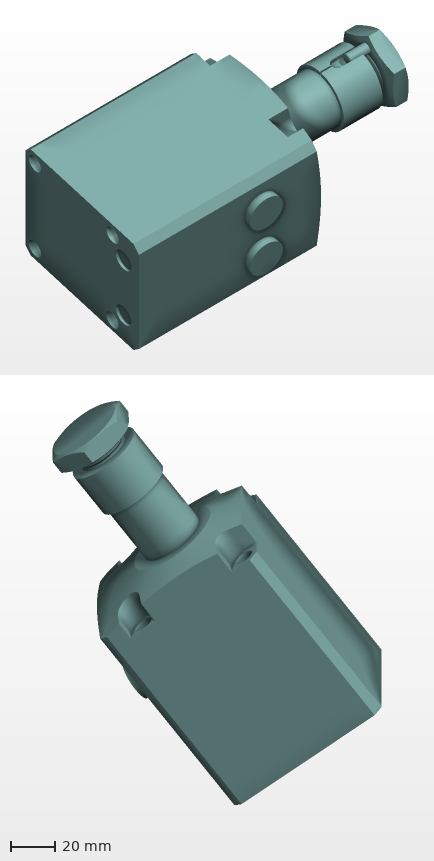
import cadquery as cq
import math


HOUSING_LEFT = 35.0
HOUSING_RIGHT = 47.1
HOUSING_HEIGHT = 70.0
HOUSING_LENGTH = 111.5
EDGE_CHAMFER = 4.0
CROWN_FLAT_RADIUS = 21.2
CROWN_SLOPE = 15

HOLE_OFFSET = 28.0
HOLE_RADIUS = 4.5
RELIEF_RADIUS = 7.0
RELIEF_FLOOR = 95.1

RECESS_X = 36.0
RECESS_Z = 18.0
RECESS_RADIUS = 5.5
RECESS_DEPTH = 1.5

PLUG_RADIUS = 9.5
PLUG_HEIGHT = 4.0
PLUG_Y = 70.2
PLUG_Z = 15.0

ROD_RADIUS = 15.0
COLLAR_RADIUS = 17.1
COLLAR_LENGTH = 22.1
COLLAR_END = 163.9
SLIT_WIDTH = 0.9
SLOT_WIDTH = 6.0
SLOT_LENGTH = 15.9

TOTAL_LENGTH = 178.5
HEAD_THICKNESS = 10.2
HEAD_ACROSS_FLATS = 36.0
HEAD_TURN = 3.5
HEAD_TOP_RADIUS = 17.1
HEAD_UNDERSIDE_RADIUS = 16.0
HEAD_CHAMFER_ANGLE = 24
THREAD_RADIUS = 12.0
THREAD_PITCH = 2.0
THREAD_DEPTH = 0.9

PIN_RADIUS = 2.9
PIN_Z = 15.4
PIN_LENGTH = 11.5
PIN_CHAMFER = 0.4
GROOVE_LENGTH = 7.7

HEAD_UNDERSIDE = TOTAL_LENGTH - HEAD_THICKNESS
HALF_HEIGHT = HOUSING_HEIGHT / 2
SIDES = (-1, 1)


def y_cylinder(radius, start, end, x=0, z=0):
    """Cylinder parallel to Y between two Y positions."""
    axis = cq.Vector(0, 1, 0)
    return cq.Workplane(cq.Solid.makeCylinder(radius, end - start, cq.Vector(x, start, z), axis))


def box(x_range, y_range, z_range):
    """Box given by its two limits along each axis."""
    size = [high - low for low, high in (x_range, y_range, z_range)]
    corner = (x_range[0], y_range[0], z_range[0])
    return cq.Workplane("XY").box(*size, centered=False).translate(corner)


def revolve_about_y(profile):
    """Turn (radius, y) points about the Y axis."""
    return cq.Workplane("XY").polyline(profile).close().revolve(360, (0, 0), (0, 1))


def crown_envelope():
    """Turned shape whose conical end crowns the housing."""
    rim_radius = 2 * HOUSING_RIGHT
    rim_y = HOUSING_LENGTH - (rim_radius - CROWN_FLAT_RADIUS) * math.tan(math.radians(CROWN_SLOPE))
    return revolve_about_y([
        (0, 0),
        (rim_radius, 0),
        (rim_radius, rim_y),
        (CROWN_FLAT_RADIUS, HOUSING_LENGTH),
        (0, HOUSING_LENGTH),
    ])


def screw_relief(x_side, z_side):
    """Room for a screw head: open outward in Z, and on the -X side open in X too."""
    y_range = (RELIEF_FLOOR, HOUSING_LENGTH)
    x_centre = x_side * HOLE_OFFSET
    z_centre = z_side * HOLE_OFFSET
    z_outer = sorted((z_centre, z_side * HOUSING_HEIGHT))
    relief = y_cylinder(RELIEF_RADIUS, *y_range, x_centre, z_centre)
    relief = relief.union(box((x_centre - RELIEF_RADIUS, x_centre + RELIEF_RADIUS), y_range, z_outer))
    if x_side < 0:
        z_full = sorted((z_centre - z_side * RELIEF_RADIUS, z_side * HOUSING_HEIGHT))
        relief = relief.union(box((-HOUSING_RIGHT, x_centre), y_range, z_full))
    return relief


def make_housing():
    body = box((-HOUSING_LEFT, HOUSING_RIGHT), (0, HOUSING_LENGTH), (-HALF_HEIGHT, HALF_HEIGHT))
    body = body.edges("|Y").chamfer(EDGE_CHAMFER)
    body = body.intersect(crown_envelope())
    for z_side in SIDES:
        for x_side in SIDES:
            hole_place = (x_side * HOLE_OFFSET, z_side * HOLE_OFFSET)
            body = body.cut(y_cylinder(HOLE_RADIUS, 0, HOUSING_LENGTH, *hole_place))
            body = body.cut(screw_relief(x_side, z_side))
        body = body.cut(y_cylinder(RECESS_RADIUS, 0, RECESS_DEPTH, RECESS_X, z_side * RECESS_Z))
    return body


def make_plug(z_side):
    """Round plug standing on the +X side of the housing."""
    base = cq.Vector(HOUSING_RIGHT, PLUG_Y, z_side * PLUG_Z)
    return cq.Workplane(cq.Solid.makeCylinder(PLUG_RADIUS, PLUG_HEIGHT, base, cq.Vector(1, 0, 0)))


def make_rod():
    """Rod with a ball-ended groove under the pin."""
    groove_end = COLLAR_END - GROOVE_LENGTH
    groove_radius = SLOT_WIDTH / 2
    groove = y_cylinder(groove_radius, groove_end, COLLAR_END, z=PIN_Z)
    ball = cq.Workplane("XY").sphere(groove_radius).translate((0, groove_end, PIN_Z))
    return y_cylinder(ROD_RADIUS, HOUSING_LENGTH, COLLAR_END).cut(groove).cut(ball)


def make_collar():
    """Ring around the rod end with a round-ended slot for the pin and a slit below it."""
    start = COLLAR_END - COLLAR_LENGTH
    slot_radius = SLOT_WIDTH / 2
    slot_centre_y = COLLAR_END - SLOT_LENGTH + slot_radius
    slot = box((-slot_radius, slot_radius), (slot_centre_y, COLLAR_END), (0, COLLAR_RADIUS))
    slot_end = cq.Workplane("XY").center(0, slot_centre_y).circle(slot_radius).extrude(COLLAR_RADIUS)
    slit = box((-SLIT_WIDTH / 2, SLIT_WIDTH / 2), (start, slot_centre_y), (0, COLLAR_RADIUS))
    ring = y_cylinder(COLLAR_RADIUS, start, COLLAR_END).cut(y_cylinder(ROD_RADIUS, start, COLLAR_END))
    return ring.cut(slot).cut(slot_end).cut(slit)


def bolt_head():
    """Hexagon with its corners turned off by a cone at both ends."""
    corner_radius = HEAD_ACROSS_FLATS / 2 / math.cos(math.pi / 6)
    slope = math.tan(math.radians(HEAD_CHAMFER_ANGLE))
    top_drop = (corner_radius - HEAD_TOP_RADIUS) * slope
    underside_drop = (corner_radius - HEAD_UNDERSIDE_RADIUS) * slope
    hexagon = (
        cq.Workplane("XZ", origin=(0, TOTAL_LENGTH, 0))
        .polygon(6, 2 * corner_radius)
        .extrude(HEAD_THICKNESS)
        .rotate((0, 0, 0), (0, 1, 0), -90 - HEAD_TURN)
    )
    turned = revolve_about_y([
        (0, HEAD_UNDERSIDE),
        (HEAD_UNDERSIDE_RADIUS, HEAD_UNDERSIDE),
        (corner_radius, HEAD_UNDERSIDE + underside_drop),
        (corner_radius, TOTAL_LENGTH - top_drop),
        (HEAD_TOP_RADIUS, TOTAL_LENGTH),
        (0, TOTAL_LENGTH),
    ])
    return hexagon.intersect(turned)


def make_bolt():
    """Hexagon head with a threaded neck, its thread drawn as ring grooves, ending on the rod."""
    neck_length = HEAD_UNDERSIDE - COLLAR_END
    bolt = bolt_head().union(y_cylinder(THREAD_RADIUS, COLLAR_END, HEAD_UNDERSIDE))
    for index in range(int(neck_length / THREAD_PITCH)):
        root_y = COLLAR_END + (index + 0.5) * THREAD_PITCH
        groove = revolve_about_y([
            (THREAD_RADIUS - THREAD_DEPTH, root_y),
            (THREAD_RADIUS, root_y - THREAD_DEPTH),
            (THREAD_RADIUS, root_y + THREAD_DEPTH),
        ])
        bolt = bolt.cut(groove)
    return bolt


def make_pin():
    """Pin standing on the underside of the bolt head, its free end chamfered."""
    pin = y_cylinder(PIN_RADIUS, HEAD_UNDERSIDE - PIN_LENGTH, HEAD_UNDERSIDE, z=PIN_Z)
    return pin.faces("<Y").chamfer(PIN_CHAMFER)


housing = make_housing()
plugs = [make_plug(z_side) for z_side in SIDES]
rod = make_rod()
collar = make_collar()
bolt = make_bolt()
pin = make_pin()

result = cq.Compound.makeCompound([
    housing.val(),
    *[plug.val() for plug in plugs],
    rod.val(),
    collar.val(),
    bolt.val(),
    pin.val(),
])